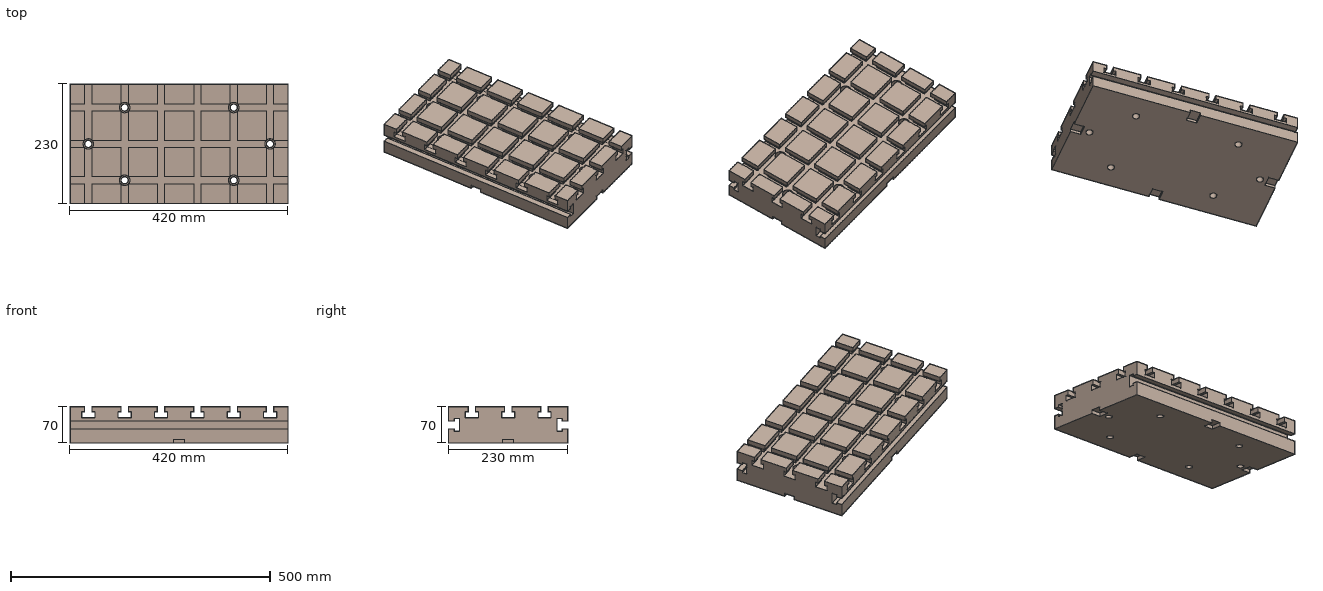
import cadquery as cq

LENGTH = 420.0
WIDTH = 230.0
HEIGHT = 70.0

COLUMN_COUNT = 6
ROW_COUNT = 3
SLOT_PITCH = LENGTH / COLUMN_COUNT
TOP_MOUTH_WIDTH = 14.0
TOP_MOUTH_DEPTH = 10.0
TOP_HEAD_WIDTH = 24.8
TOP_SLOT_DEPTH = 21.0

SIDE_MOUTH_WIDTH = 15.0
SIDE_MOUTH_DEPTH = 11.5
SIDE_HEAD_WIDTH = 24.0
SIDE_SLOT_DEPTH = 21.0

HOLE_DIAMETER = 13.5
COUNTERBORE_DIAMETER = 20.0
COUNTERBORE_BELOW_SLOT = 13.0

KEY_WIDTH = 21.0
KEY_HEIGHT = 7.0
KEY_LENGTH = KEY_WIDTH


def centred_places(count):
    """Evenly pitched positions, symmetric about zero."""
    return [(i - (count - 1) / 2) * SLOT_PITCH for i in range(count)]


def t_slot(length, mouth_width, mouth_depth, head_width, slot_depth):
    """T-slot cutter running along Y, with its mouth at Z = 0 and its head below."""
    mouth = cq.Workplane("XY").box(mouth_width, length, slot_depth, centered=(True, True, False))
    head = cq.Workplane("XY").box(
        head_width, length, slot_depth - mouth_depth, centered=(True, True, False)
    )
    return mouth.union(head).translate((0, 0, -slot_depth))


def top_slot(length):
    """Top T-slot cutter running along Y, placed at the top face."""
    slot = t_slot(length, TOP_MOUTH_WIDTH, TOP_MOUTH_DEPTH, TOP_HEAD_WIDTH, TOP_SLOT_DEPTH)
    return slot.translate((0, 0, HEIGHT))


def turn_about_z(body, angle):
    """Body turned about the plate's vertical centre line, in degrees."""
    return body.rotate((0, 0, 0), (0, 0, 1), angle)


columns = centred_places(COLUMN_COUNT)
rows = centred_places(ROW_COUNT)

plate = cq.Workplane("XY").box(LENGTH, WIDTH, HEIGHT, centered=(True, True, False))

for x in columns:
    plate = plate.cut(top_slot(WIDTH).translate((x, 0, 0)))
for y in rows:
    plate = plate.cut(turn_about_z(top_slot(LENGTH), 90).translate((0, y, 0)))

side_slot = t_slot(LENGTH, SIDE_MOUTH_WIDTH, SIDE_MOUTH_DEPTH, SIDE_HEAD_WIDTH, SIDE_SLOT_DEPTH)
side_slot = side_slot.rotate((0, 0, 0), (0, 1, 0), 90).translate((WIDTH / 2, 0, HEIGHT / 2))
for angle in (90, -90):
    plate = plate.cut(turn_about_z(side_slot, angle))

hole_places = [(x, rows[1]) for x in (columns[0], columns[-1])]
hole_places += [(x, y) for x in (columns[1], columns[-2]) for y in (rows[0], rows[-1])]
counterbore_depth = TOP_SLOT_DEPTH + COUNTERBORE_BELOW_SLOT
bolt_holes = cq.Workplane("XY").pushPoints(hole_places).circle(HOLE_DIAMETER / 2).extrude(HEIGHT)
counterbores = (
    cq.Workplane("XY", origin=(0, 0, HEIGHT))
    .pushPoints(hole_places)
    .circle(COUNTERBORE_DIAMETER / 2)
    .extrude(-counterbore_depth)
)
plate = plate.cut(bolt_holes).cut(counterbores)

key_notch = cq.Workplane("XY").box(KEY_LENGTH, KEY_WIDTH, KEY_HEIGHT, centered=(False, True, False))
for half_span, angles in ((LENGTH / 2, (0, 180)), (WIDTH / 2, (90, -90))):
    edge_notch = key_notch.translate((half_span - KEY_LENGTH, 0, 0))
    for angle in angles:
        plate = plate.cut(turn_about_z(edge_notch, angle))

result = plate